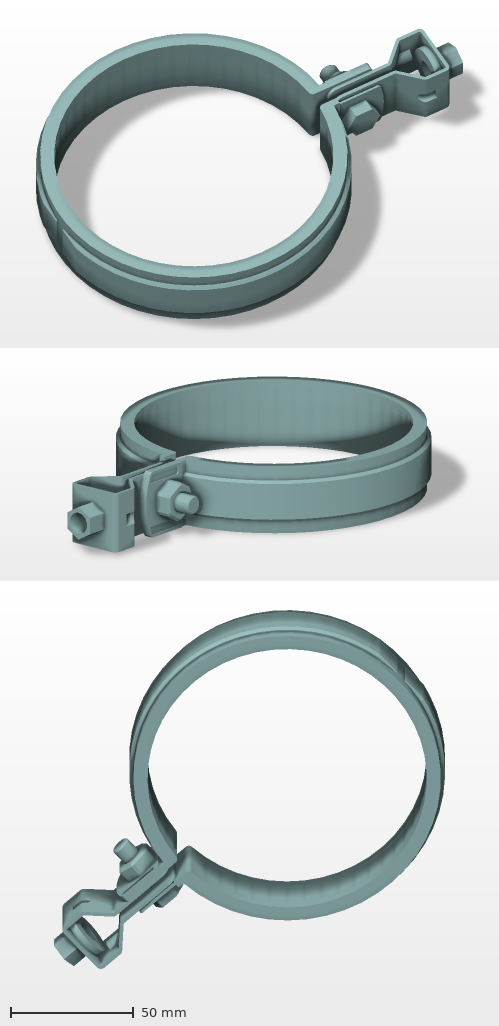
import cadquery as cq
import math

overall_length = 186.0

liner_inner_radius = 57.0
liner_outer_radius = 62.7
liner_diameter = 2 * liner_outer_radius
liner_height = 28.0
liner_gap = 6.1
tab_inner_x = liner_gap / 2
tab_outer_x = 6.0
tab_top_y = 65.1
liner_lip_radius = 1.9

strap_outer_diameter = 129.0
strap_outer_radius = strap_outer_diameter / 2
strap_base_height = 17.5
strap_bevel = 1.1
strap_face_height = strap_base_height - 2 * strap_bevel
strap_flat_y = -63.0
strap_gap = 5.0
facet_start_x = 18.2
strap_sheet = 1.0
sheet_inner_x = 4.1
sheet_outer_x = sheet_inner_x + strap_sheet

left_ear_thickness = 3.5
left_ear_outer_x = tab_inner_x + left_ear_thickness
left_ear_height = liner_height
left_ear_shoulder_y = 85.4
left_ear_crown_y = 88.2
right_ear_height = 23.0
right_ear_shoulder_y = 85.0
right_ear_crown_y = 86.3
ear_corner = 1.0
groove_depth = 0.7
groove_bottom_y = 67.7
groove_top_y = 85.5
groove_inner_z = 9.3
groove_outer_z = 12.8
groove_slant = 1.0
groove_fillet = 1.1

bracket_sheet = 1.5
bracket_height = 25.0
bracket_top_y = 113.9
bracket_width = 24.4
bracket_half_width = bracket_width / 2
bracket_bend_y = 102.0
bracket_end_y = 64.0
bracket_end_fillet = 4.3
bend_radius = 2.2
dimple_inner_radius = 2.6
dimple_outer_radius = 4.1
dimple_top_y = 107.2

mount_across_flats = 12.1
mount_end_y = overall_length + strap_flat_y
mount_flange_diameter = 20.0
mount_flange_thickness = 3.2
mount_hole_diameter = 9.0
mount_spigot_diameter = 10.5

bolt_y = 74.0
bolt_diameter = 8.0
bolt_tip_diameter = 6.7
bolt_tip_length = 0.7
bolt_tip_x = -20.1
bolt_head_across_flats = 13.0
bolt_head_height = 5.4
clearance_diameter = 8.5
nut_across_flats = 15.0
nut_height = 6.5
nut_edge_chamfer = 1.0
nut_bevel = 1.1
nut_chamfer_diameter = 9.0


def box(x_range, y_range, height):
    """Block between two X values and two Y values, centred on Z = 0."""
    x0, x1 = x_range
    y0, y1 = y_range
    centre = ((x0 + x1) / 2, (y0 + y1) / 2, 0)
    return cq.Workplane("XY").box(x1 - x0, y1 - y0, height).translate(centre)


def x_cylinder(diameter, x0, x1):
    """Cylinder on the bolt axis between two X values."""
    return cq.Workplane("YZ", origin=(x0, bolt_y, 0)).circle(diameter / 2).extrude(x1 - x0)


def circle_y(radius, x):
    """Distance from the X axis of the point at x on a circle about the origin."""
    return math.sqrt(radius**2 - x**2)


def edges_between(body, y0, y1):
    """Edges along Z whose centres lie between two Y values, at any X inside the ring's width."""
    low_corner = (-liner_outer_radius, y0, -liner_height)
    high_corner = (liner_outer_radius, y1, liner_height)
    return body.edges("|Z").edges(cq.selectors.BoxSelector(low_corner, high_corner))


def hexagon_across_corners(across_flats):
    """Diameter of the circle through the corners of a hexagon."""
    return across_flats / math.cos(math.pi / 6)


def mirror_x(body):
    """Copy of a body on the other side of X = 0."""
    return body.mirror("YZ")


def make_band():
    """Half band on the +X side, with bevelled outer edges and a flat at its lower end."""
    flat_end_x = math.sqrt(strap_outer_radius**2 - strap_flat_y**2)
    band = (
        cq.Workplane("XY")
        .moveTo(0, strap_flat_y)
        .lineTo(flat_end_x, strap_flat_y)
        .lineTo(facet_start_x, -circle_y(strap_outer_radius, facet_start_x))
        .threePointArc((strap_outer_radius, 0), (0, strap_outer_radius))
        .close()
        .extrude(strap_base_height / 2, both=True)
    )
    band = band.faces(">Z or <Z").chamfer(strap_bevel)
    band = band.cut(cq.Workplane("XY").circle(liner_outer_radius).extrude(liner_height, both=True))
    lower_span = box((strap_gap / 2, liner_diameter), (-liner_diameter, 0), liner_height)
    upper_span = box((sheet_inner_x, liner_diameter), (0, liner_diameter), liner_height)
    return band.intersect(lower_span.union(upper_span))


def make_neck():
    """Sheet that leads from the band up through the liner tab on the +X side."""
    neck_start_y = (liner_outer_radius + strap_outer_radius) / 2
    return box((sheet_inner_x, sheet_outer_x), (neck_start_y, tab_top_y), strap_face_height)


def make_ear(x0, x1, height, shoulder_y, crown_y):
    """Upright plate on the tab with a crowned top and a hole for the bolt."""
    half = height / 2
    crown_z = half - ear_corner
    plate = (
        cq.Workplane("YZ", origin=(x0, 0, 0))
        .moveTo(tab_top_y, -half)
        .lineTo(shoulder_y - ear_corner, -half)
        .lineTo(shoulder_y, -crown_z)
        .threePointArc((crown_y, 0), (shoulder_y, crown_z))
        .lineTo(shoulder_y - ear_corner, half)
        .lineTo(tab_top_y, half)
        .close()
        .extrude(x1 - x0)
    )
    return plate.cut(x_cylinder(clearance_diameter, x0, x1))


def make_groove():
    """Shallow recess near the +Z edge of the left ear's outer face."""
    outline = [
        (groove_bottom_y, groove_inner_z),
        (groove_top_y, groove_inner_z),
        (groove_top_y - groove_slant, groove_outer_z),
        (groove_bottom_y, groove_outer_z),
    ]
    face = cq.Workplane("YZ", origin=(-left_ear_outer_x, 0, 0))
    groove = face.polyline(outline).close().extrude(groove_depth)
    return groove.edges("|X and <Y and <Z").fillet(groove_fillet)


def make_right_strap():
    """Half band on the +X side that ends in a thin ear."""
    ear = make_ear(sheet_inner_x, sheet_outer_x, right_ear_height, right_ear_shoulder_y, right_ear_crown_y)
    return make_band().union(make_neck()).union(ear)


def make_left_strap():
    """Half band on the -X side that ends in a thick, grooved ear."""
    ear = make_ear(-left_ear_outer_x, -tab_inner_x, left_ear_height, left_ear_shoulder_y, left_ear_crown_y)
    groove = make_groove()
    ear = ear.cut(groove).cut(groove.mirror("XY"))
    return mirror_x(make_band().union(make_neck())).union(ear)


def make_liner():
    """Split ring with a rounded inner lip and a tab at each end, hollowed where the straps pass."""
    ring = (
        cq.Workplane("XY")
        .circle(liner_outer_radius)
        .circle(liner_inner_radius)
        .extrude(liner_height / 2, both=True)
    )
    ring = ring.cut(box((-tab_inner_x, tab_inner_x), (0, liner_diameter), liner_height))
    lip_y = circle_y(liner_inner_radius, tab_inner_x)
    ring = edges_between(ring, lip_y - liner_lip_radius, lip_y + liner_lip_radius).fillet(liner_lip_radius)
    tab_start_y = (liner_inner_radius + liner_outer_radius) / 2
    tab = box((tab_inner_x, tab_outer_x), (tab_start_y, tab_top_y), liner_height)
    ring = ring.union(tab).union(mirror_x(tab))
    strap_space = make_band().union(make_neck())
    return ring.cut(strap_space).cut(mirror_x(strap_space))


def bracket_prism(offset):
    """Solid within the bracket's outer outline, moved inward by the offset."""
    half_width = bracket_half_width - offset
    leg_x = tab_inner_x - offset
    bend_y = bracket_bend_y + offset * math.tan(math.pi / 8)
    knee_y = bend_y - (half_width - leg_x)
    middle_y = (bend_y + knee_y) / 2
    below_top_y = (bend_y + bracket_top_y) / 2
    above_end_y = (knee_y + bracket_end_y) / 2
    top_y = bracket_top_y - offset
    prism = (
        cq.Workplane("XY")
        .moveTo(leg_x, bracket_end_y)
        .lineTo(leg_x, knee_y)
        .lineTo(half_width, bend_y)
        .lineTo(half_width, top_y)
        .lineTo(-half_width, top_y)
        .lineTo(-half_width, bend_y)
        .lineTo(-leg_x, knee_y)
        .lineTo(-leg_x, bracket_end_y)
        .close()
        .extrude(bracket_height / 2, both=True)
    )
    prism = prism.edges("|Z and >Y").fillet(bend_radius - offset)
    prism = edges_between(prism, middle_y, below_top_y).fillet(bend_radius - offset)
    return edges_between(prism, above_end_y, middle_y).fillet(bend_radius - bracket_sheet + offset)


def make_bracket():
    """Bent sheet with rounded leg ends, and a dimple pressed into each side."""
    outer = bracket_prism(0)
    bracket = outer.cut(bracket_prism(bracket_sheet))
    bracket = bracket.edges("|X and <Y").fillet(bracket_end_fillet)
    for side in (-1, 1):
        axis = cq.Workplane("XZ", origin=(side * bracket_half_width, dimple_top_y, 0))
        length = dimple_top_y - bracket_end_y
        bump = axis.circle(dimple_outer_radius).extrude(length).intersect(outer)
        bracket = bracket.union(bump)
        bracket = bracket.cut(axis.circle(dimple_inner_radius).extrude(length))
    mount_hole = cq.Workplane("XZ", origin=(0, bracket_top_y, 0)).circle(mount_spigot_diameter / 2)
    bracket = bracket.cut(mount_hole.extrude(bracket_sheet))
    return bracket.cut(x_cylinder(clearance_diameter, -tab_inner_x, tab_inner_x))


def make_mounting_nut():
    """Long hexagon with a round flange inside the bracket and a spigot through the sheet."""
    sheet_inner_y = bracket_top_y - bracket_sheet
    flange_end_y = sheet_inner_y - mount_flange_thickness
    hexagon = (
        cq.Workplane("XZ", origin=(0, mount_end_y, 0))
        .transformed(rotate=(0, 0, 90))
        .polygon(6, hexagon_across_corners(mount_across_flats))
        .extrude(mount_end_y - bracket_top_y)
    )
    spigot = (
        cq.Workplane("XZ", origin=(0, bracket_top_y, 0))
        .circle(mount_spigot_diameter / 2)
        .extrude(bracket_sheet)
    )
    flange = (
        cq.Workplane("XZ", origin=(0, sheet_inner_y, 0))
        .circle(mount_flange_diameter / 2)
        .extrude(mount_flange_thickness)
    )
    hole = (
        cq.Workplane("XZ", origin=(0, mount_end_y, 0))
        .circle(mount_hole_diameter / 2)
        .extrude(mount_end_y - flange_end_y)
    )
    return hexagon.union(spigot).union(flange).cut(hole)


def make_bolt():
    """Hexagon bolt along X, with its head against the right ear and a bevelled tip."""
    shank = x_cylinder(bolt_diameter, bolt_tip_x, sheet_outer_x)
    tip_chamfer = (bolt_diameter - bolt_tip_diameter) / 2
    shank = shank.faces("<X").chamfer(bolt_tip_length, tip_chamfer)
    head = (
        cq.Workplane("YZ", origin=(sheet_outer_x, bolt_y, 0))
        .polygon(6, hexagon_across_corners(bolt_head_across_flats))
        .extrude(bolt_head_height)
    )
    return shank.union(head)


def make_nut():
    """Hexagon nut with blunt corners, a bevelled outer end and a countersunk bore."""
    nut = (
        cq.Workplane("YZ", origin=(-left_ear_outer_x, bolt_y, 0))
        .transformed(rotate=(0, 0, 90))
        .polygon(6, hexagon_across_corners(nut_across_flats))
        .extrude(-nut_height)
    )
    nut = nut.edges("|X").chamfer(nut_edge_chamfer)
    nut = nut.faces("<X").chamfer(nut_bevel)
    nut = nut.cut(x_cylinder(bolt_diameter, -left_ear_outer_x - nut_height, -left_ear_outer_x))
    bore_edge = nut.faces("<X").edges("%CIRCLE")
    return bore_edge.chamfer((nut_chamfer_diameter - bolt_diameter) / 2)


liner = make_liner()
left_strap = make_left_strap()
right_strap = make_right_strap()
bracket = make_bracket()
mounting_nut = make_mounting_nut()
bolt = make_bolt()
nut = make_nut()

result = cq.Compound.makeCompound([
    liner.val(),
    left_strap.val(),
    right_strap.val(),
    bracket.val(),
    mounting_nut.val(),
    bolt.val(),
    nut.val(),
])